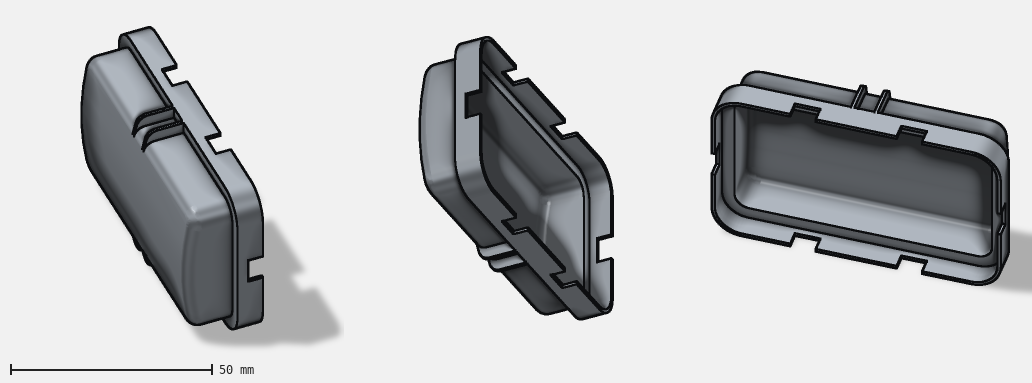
import cadquery as cq

length = 75.3
height = 44.8
flange_depth = 6.9
flange_corner = 7.75

total_depth = 19.5
body_inset = 3.25
body_corner = 4.75
crown_radius = 81.3
front_fillet = 3.0

wall = 0.9

rib_thickness = 0.9
rib_pair_width = 7.0

notch_depth = 4.0
long_side_notch_width = 6.6
long_side_notch_spacing = 27.7
short_side_notch_width = 7.0


def rounded_block(x_size, z_size, corner, depth):
    """Block with rounded corners, reaching from Y = 0 to Y = -depth."""
    return cq.Workplane("XZ").rect(x_size, z_size).extrude(depth).edges("|Y").fillet(corner)


def crown_cylinder(offset):
    """Cylinder along X whose surface is the crowned front, moved inwards by the offset."""
    axis_y = crown_radius - total_depth
    return (
        cq.Workplane("YZ")
        .center(axis_y, 0)
        .circle(crown_radius - offset)
        .extrude(length / 2, both=True)
    )


def crowned_body(offset):
    """Body with its sides, crown and front fillet moved inwards by the offset."""
    inset = body_inset + offset
    block = rounded_block(length - 2 * inset, height - 2 * inset, body_corner - offset, total_depth)
    return block.intersect(crown_cylinder(offset)).faces("<Y").edges().fillet(front_fillet - offset)


def rib(x_center):
    """Crowned plate spanning the full height, rounded where it meets the front."""
    plate = cq.Workplane("XZ").center(x_center, 0).rect(rib_thickness, height).extrude(total_depth)
    plate = plate.intersect(crown_cylinder(0))
    return plate.faces("<Y").edges("|X").fillet(front_fillet)


def notch_cutter(x_center, x_size, z_size):
    """Box that opens a notch through the back edge of the flange."""
    return cq.Workplane("XZ").center(x_center, 0).rect(x_size, z_size).extrude(notch_depth)


result = rounded_block(length, height, flange_corner, flange_depth).union(crowned_body(0))
rib_offset = (rib_pair_width - rib_thickness) / 2
for side in (-1, 1):
    result = result.union(rib(side * rib_offset))

flange_cavity = rounded_block(
    length - 2 * wall, height - 2 * wall, flange_corner - wall, flange_depth - wall
)
result = result.cut(flange_cavity).cut(crowned_body(wall))

for side in (-1, 1):
    result = result.cut(notch_cutter(side * long_side_notch_spacing / 2, long_side_notch_width, height))
result = result.cut(notch_cutter(0, length, short_side_notch_width))